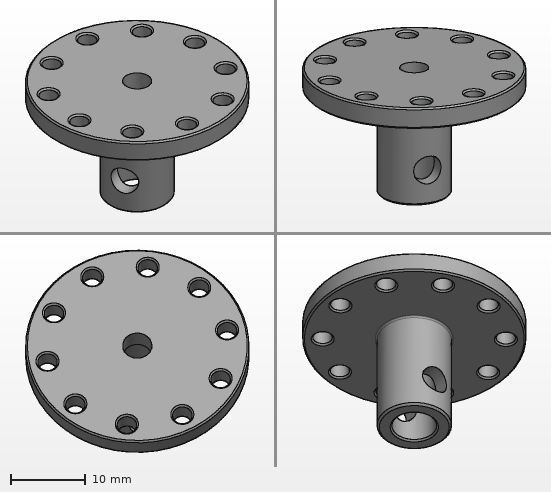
import cadquery as cq

flange_diameter = 30.0
flange_thickness = 3.0
flange_chamfer = 0.25

total_height = 18.0
shaft_diameter = 10.0
shaft_chamfer = 0.3
neck_fillet = 0.25

bore_diameter = 3.9
socket_diameter = 6.0
socket_chamfer = 0.25
cross_hole_diameter = 3.95
cross_hole_height = 5.0
bolt_count = 10
bolt_circle_diameter = 24.6
bolt_hole_diameter = 2.6
bolt_hole_chamfer = 0.25

shaft_length = total_height - flange_thickness
socket_depth = shaft_length


def make_flange():
    disc = (
        cq.Workplane("XY")
        .workplane(offset=shaft_length)
        .circle(flange_diameter / 2)
        .extrude(flange_thickness)
    )
    return disc.faces("<Z or >Z").edges().chamfer(flange_chamfer)


def make_shaft():
    shaft = cq.Workplane("XY").circle(shaft_diameter / 2).extrude(shaft_length)
    return shaft.faces("<Z").edges().chamfer(shaft_chamfer)


def make_bolt_holes():
    """Ring of through holes, chamfered at both flange faces."""
    holes = (
        cq.Workplane("XY")
        .workplane(offset=shaft_length)
        .polarArray(bolt_circle_diameter / 2, 0, 360, bolt_count)
        .circle(bolt_hole_diameter / 2)
        .extrude(flange_thickness)
    )
    mouth_radius = bolt_hole_diameter / 2 + bolt_hole_chamfer
    for face_height, inward in ((shaft_length, 1), (total_height, -1)):
        mouths = (
            cq.Workplane("XY")
            .workplane(offset=face_height)
            .polarArray(bolt_circle_diameter / 2, 0, 360, bolt_count)
            .circle(mouth_radius)
            .extrude(inward * bolt_hole_chamfer, taper=45)
        )
        holes = holes.union(mouths)
    return holes


def make_cross_hole():
    """Hole through the shaft along Y."""
    return (
        cq.Workplane("XZ")
        .center(0, cross_hole_height)
        .circle(cross_hole_diameter / 2)
        .extrude(shaft_diameter, both=True)
    )


body = make_flange().union(make_shaft())

underside_point = (0, flange_diameter / 3, shaft_length)
underside = body.faces(cq.selectors.NearestToPointSelector(underside_point))
body = underside.edges(cq.selectors.RadiusNthSelector(0)).fillet(neck_fillet)

bore = cq.Workplane("XY").circle(bore_diameter / 2).extrude(total_height)

socket = cq.Workplane("XY").circle(socket_diameter / 2).extrude(socket_depth)
socket_mouth_radius = socket_diameter / 2 + socket_chamfer
socket_mouth = cq.Workplane("XY").circle(socket_mouth_radius).extrude(socket_chamfer, taper=45)
socket = socket.union(socket_mouth)

result = body.cut(bore).cut(socket).cut(make_cross_hole()).cut(make_bolt_holes())